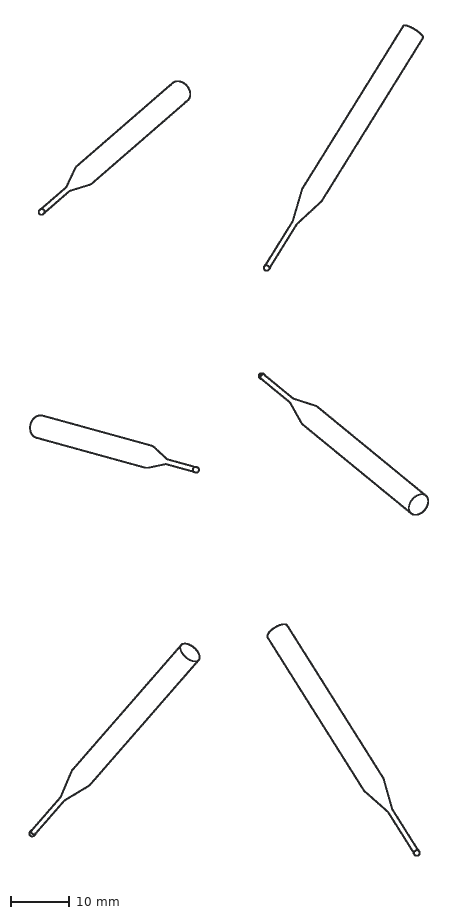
import cadquery as cq
import math

overall_length = 50.0
shank_radius = 4.0 / 2
neck_radius = 0.9 / 2
ball_radius = 1.0 / 2
head_length = 0.8
reach = 10.0
taper_half_angle = 15.0

taper_length = (shank_radius - neck_radius) / math.tan(math.radians(taper_half_angle))
shank_start = reach + taper_length
arc_mid_offset = ball_radius * math.sin(math.radians(45))

half_section = (
    cq.Workplane("XY")
    .moveTo(0, 0)
    .threePointArc((arc_mid_offset, ball_radius - arc_mid_offset), (ball_radius, ball_radius))
    .lineTo(ball_radius, head_length)
    .lineTo(neck_radius, head_length)
    .lineTo(neck_radius, reach)
    .lineTo(shank_radius, shank_start)
    .lineTo(shank_radius, overall_length)
    .lineTo(0, overall_length)
    .close()
)

result = half_section.revolve(360, (0, 0, 0), (0, 1, 0))